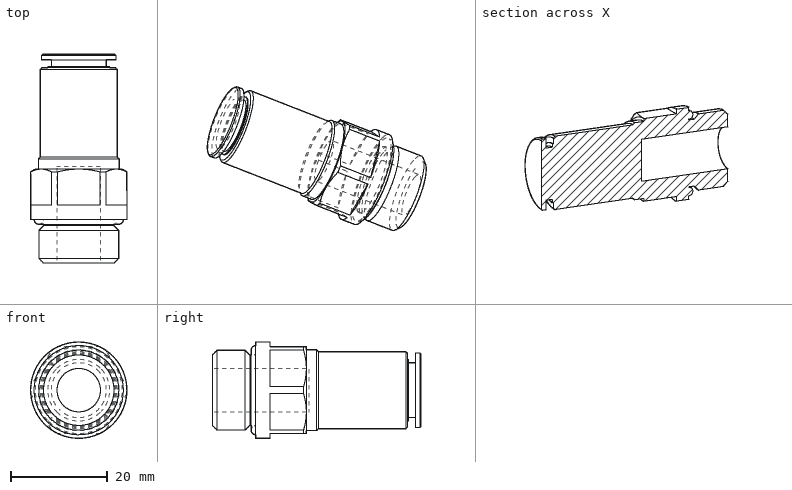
import cadquery as cq
import math


thread_radius = 8.3
thread_root_radius = 7.3
thread_chamfer = thread_radius - thread_root_radius
thread_length = 9.0
undercut_width = 1.2
bore_diameter = 9.0
bore_depth = 20.0

seal_section_radius = 0.95
seal_ring_radius = 8.3

flange_radius = 10.0
flange_end = 3.0
hex_across_flats = 18.0
hex_end = 10.5
hex_turn = 30.0
hex_chamfer_angle = 30.0

collar_radius = 8.4
collar_end = 13.0
body_radius = 8.0
body_end = 31.5
body_chamfer = 0.4
end_lip_radius = 6.4
end_lip_height = 0.2

neck_radius = 5.7
button_radius = 7.75
button_start = 33.1
button_end = 34.3
button_chamfer = 0.3


def disc(radius, start, end):
    """Cylinder about the Y axis from Y = start to Y = end."""
    plane = cq.Workplane("XZ", origin=(0, start, 0))
    return plane.circle(radius).extrude(start - end)


def make_thread():
    thread = disc(thread_radius, -thread_length, -undercut_width)
    thread = thread.edges().chamfer(thread_chamfer)
    root = disc(thread_root_radius, -undercut_width, 0)
    return thread.union(root)


def make_seal():
    section = cq.Workplane("XY").center(seal_ring_radius, 0).circle(seal_section_radius)
    return section.revolve(360, (-seal_ring_radius, 0), (-seal_ring_radius, 1))


def make_hexagon():
    flat_radius = hex_across_flats / 2
    chamfer_length = (flange_radius - flat_radius) * math.tan(math.radians(hex_chamfer_angle))
    blank = disc(flange_radius, flange_end, hex_end)
    blank = blank.edges(">Y").chamfer(chamfer_length, flange_radius - flat_radius)
    prism = (
        cq.Workplane("XZ", origin=(0, flange_end, 0))
        .transformed(rotate=(0, 0, hex_turn))
        .polygon(6, hex_across_flats, circumscribed=True)
        .extrude(flange_end - hex_end)
    )
    return blank.intersect(prism)


def make_body():
    collar_chamfer = collar_radius - body_radius
    collar = disc(collar_radius, hex_end, collar_end).edges(">Y").chamfer(collar_chamfer)
    sleeve = disc(body_radius, hex_end, body_end).edges(">Y").chamfer(body_chamfer)
    end_lip = disc(end_lip_radius, body_end, body_end + end_lip_height)
    return collar.union(sleeve).union(end_lip)


def make_button():
    neck = disc(neck_radius, body_end, button_start)
    head = disc(button_radius, button_start, button_end).edges(">Y").chamfer(button_chamfer)
    return neck.union(head)


flange = disc(flange_radius, 0, flange_end)
bore = disc(bore_diameter / 2, -thread_length, bore_depth - thread_length)

result = (
    flange.union(make_thread())
    .union(make_seal())
    .union(make_hexagon())
    .union(make_body())
    .union(make_button())
    .cut(bore)
)